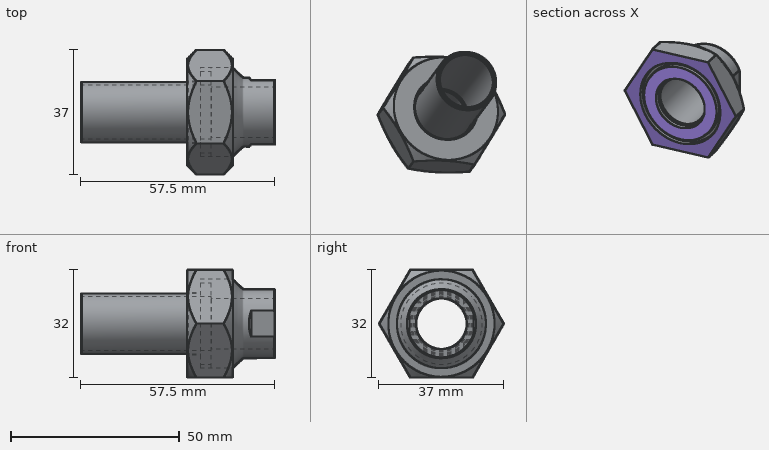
import cadquery as cq
import math


total_length = 57.5
nut_start = 31.5
nut_length = 13.5
nut_end = nut_start + nut_length
nut_wall = 4.0
collar_length = 3.0
collar_start = nut_start + nut_wall
joint = collar_start + collar_length

end_chamfer = 0.25

tube_od = 18.0
tube_bore = 16.0
collar_od = 24.12

across_flats = 32.0
across_corners = across_flats / math.cos(math.radians(30))
nut_face_d = 31.5
nut_hole_d = 18.5
nut_hole_chamfer = 0.35

thread_od = 26.4
runout_d = 23.5
spigot_od = 20.5
adapter_bore = 14.95
shoulder_angle = math.radians(42)
shoulder_fillet = 0.5
flats_width = 19.0
flats_length = 7.0


def disc(x_start, x_end, diameter):
    """Solid cylinder about the X axis from x_start to x_end."""
    return cq.Workplane("YZ", origin=(x_start, 0, 0)).circle(diameter / 2).extrude(x_end - x_start)


def make_tube():
    """Stub with a collar that bears on the inside of the nut wall."""
    stub = disc(0, joint, tube_od).faces("<X").chamfer(end_chamfer)
    collar = disc(collar_start, joint, collar_od)
    bore = disc(0, joint, tube_bore)
    tube = stub.union(collar).cut(bore)
    return tube.faces("<X").edges(cq.selectors.RadiusNthSelector(0)).chamfer(end_chamfer)


def make_nut():
    """Hexagon with flats facing +Z and -Z, corners turned at 45 degrees on both faces."""
    hexagon = cq.Workplane("YZ", origin=(nut_start, 0, 0)).polygon(6, across_corners).extrude(nut_length)
    corner_chamfer = (across_corners - nut_face_d) / 2
    turned_blank = disc(nut_start, nut_end, across_corners).faces("<X or >X").chamfer(corner_chamfer)
    hole = disc(nut_start, nut_end, nut_hole_d)
    nut = hexagon.intersect(turned_blank).cut(hole)
    nut = nut.faces("<X").edges(cq.selectors.RadiusNthSelector(0)).chamfer(nut_hole_chamfer)
    return nut.cut(disc(collar_start, nut_end, thread_od))


def flat_cutter(side):
    """Material beyond one wrench flat, with a 45 degree run-out; side is +1 or -1 along Y."""
    flat_start = total_length - flats_length
    flat_y = flats_width / 2
    height = spigot_od - flat_y
    outline = [
        (flat_start, side * flat_y),
        (total_length, side * flat_y),
        (total_length, side * (flat_y + height)),
        (flat_start - height, side * (flat_y + height)),
    ]
    return cq.Workplane("XY").polyline(outline).close().extrude(spigot_od, both=True)


def make_adapter():
    """Threaded end with a 45 degree run-out, a slightly flatter shoulder and a spigot with two flats."""
    thread_r = thread_od / 2
    runout_r = runout_d / 2
    spigot_r = spigot_od / 2
    runout_x = nut_end + thread_r - runout_r
    corner_x = runout_x + (runout_r - spigot_r) / math.tan(shoulder_angle)

    mid_angle = shoulder_angle / 2
    tangent_length = shoulder_fillet * math.tan(mid_angle)
    fillet_start = (
        corner_x - tangent_length * math.cos(shoulder_angle),
        spigot_r + tangent_length * math.sin(shoulder_angle),
    )
    fillet_end = (corner_x + tangent_length, spigot_r)
    fillet_mid = (
        fillet_end[0] - shoulder_fillet * math.sin(mid_angle),
        spigot_r + shoulder_fillet * (1 - math.cos(mid_angle)),
    )

    profile = (
        cq.Workplane("XY")
        .moveTo(joint, 0)
        .lineTo(joint, thread_r)
        .lineTo(nut_end, thread_r)
        .lineTo(runout_x, runout_r)
        .lineTo(*fillet_start)
        .threePointArc(fillet_mid, fillet_end)
        .lineTo(total_length, spigot_r)
        .lineTo(total_length, 0)
        .close()
    )
    body = profile.revolve(360, (0, 0, 0), (1, 0, 0))
    body = body.faces(">X").chamfer(end_chamfer)
    for side in (1, -1):
        body = body.cut(flat_cutter(side))
    body = body.cut(disc(joint, total_length, adapter_bore))
    return body.faces("<X").edges(cq.selectors.RadiusNthSelector(0)).chamfer(end_chamfer)


tube = make_tube()
nut = make_nut()
adapter = make_adapter()

result = cq.Compound.makeCompound([tube.val(), nut.val(), adapter.val()])